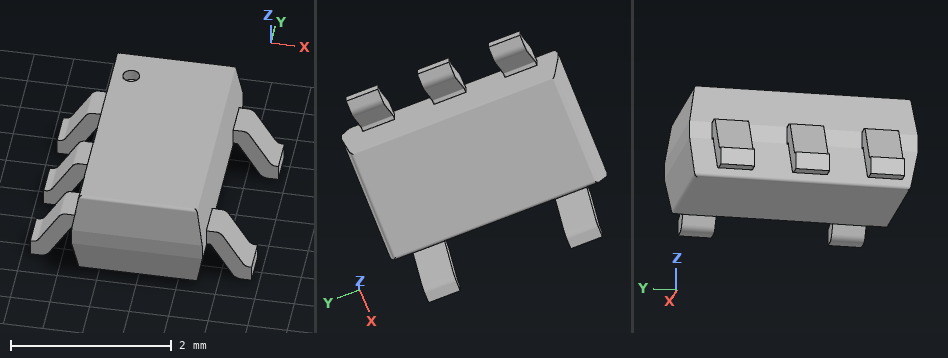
import cadquery as cq
import math

BODY_X = 1.655
BODY_Y = 2.9
BODY_BOTTOM = 0.05
BODY_TOP = 1.25
RIM_RADIUS = 0.044
UPPER_DRAFT = 9.0
LOWER_DRAFT = 10.0

MARK_DIAMETER = 0.205
MARK_X = -0.5
MARK_DEPTH = 0.15

LEAD_SPAN = 2.8
LEAD_THICKNESS = 0.22
LEAD_WIDTH = 0.425
LEAD_PITCH = 0.95
LEAD_TOP = 0.74
SHOULDER_LENGTH = 0.177
FOOT_LENGTH = 0.08
SHOULDER_OUTER_RADIUS = 0.107
SHOULDER_INNER_RADIUS = 0.017
FOOT_UPPER_RADIUS = 0.095
FOOT_LOWER_RADIUS = 0.13

BELT_TOP = LEAD_TOP
BELT_BOTTOM = LEAD_TOP - LEAD_THICKNESS

LEFT_ROWS = (-1, 0, 1)
RIGHT_ROWS = (-1, 1)


def body_section(z):
    return cq.Workplane("XY", origin=(0, 0, z)).rect(BODY_X, BODY_Y)


def make_housing():
    """Belt with drafted upper and lower halves, rounded rims and a round mark."""
    belt = body_section(BELT_BOTTOM).extrude(LEAD_THICKNESS)
    upper = body_section(BELT_TOP).extrude(BODY_TOP - BELT_TOP, taper=UPPER_DRAFT)
    lower = body_section(BELT_BOTTOM).extrude(BODY_BOTTOM - BELT_BOTTOM, taper=LOWER_DRAFT)
    body = belt.union(upper).union(lower)
    body = body.faces(">Z or <Z").edges().fillet(RIM_RADIUS)
    mark = (
        cq.Workplane("XY", origin=(MARK_X, LEAD_PITCH, BODY_TOP - MARK_DEPTH))
        .circle(MARK_DIAMETER / 2)
        .extrude(MARK_DEPTH)
    )
    return body.cut(mark)


def make_lead(side, row):
    """Gull-wing lead on side -1 (left) or +1 (right), at the given row."""
    face = BODY_X / 2
    tip = LEAD_SPAN / 2
    shoulder = face + SHOULDER_LENGTH
    foot = tip - FOOT_LENGTH

    slope = math.atan2(LEAD_TOP - LEAD_THICKNESS, foot - shoulder)
    setback = LEAD_THICKNESS * math.tan(slope / 2)

    shoulder_outer = (shoulder, LEAD_TOP)
    shoulder_inner = (shoulder - setback, BELT_BOTTOM)
    foot_upper = (foot, LEAD_THICKNESS)
    foot_lower = (foot - setback, 0)
    outline = [
        (face, LEAD_TOP),
        shoulder_outer,
        foot_upper,
        (tip, LEAD_THICKNESS),
        (tip, 0),
        foot_lower,
        shoulder_inner,
        (face, BELT_BOTTOM),
    ]
    lead = cq.Workplane("XZ").polyline(outline).close().extrude(LEAD_WIDTH / 2, both=True)

    bends = [
        (shoulder_outer, SHOULDER_OUTER_RADIUS),
        (shoulder_inner, SHOULDER_INNER_RADIUS),
        (foot_upper, FOOT_UPPER_RADIUS),
        (foot_lower, FOOT_LOWER_RADIUS),
    ]
    for (x, z), radius in bends:
        corner = cq.selectors.NearestToPointSelector((x, 0, z))
        lead = lead.edges("|Y").edges(corner).fillet(radius)

    if side < 0:
        lead = lead.mirror("YZ")
    return lead.translate((0, row * LEAD_PITCH, 0))


housing = make_housing()
leads = [make_lead(-1, row) for row in LEFT_ROWS]
leads += [make_lead(1, row) for row in RIGHT_ROWS]

result = cq.Compound.makeCompound([housing.val(), *[lead.val() for lead in leads]])